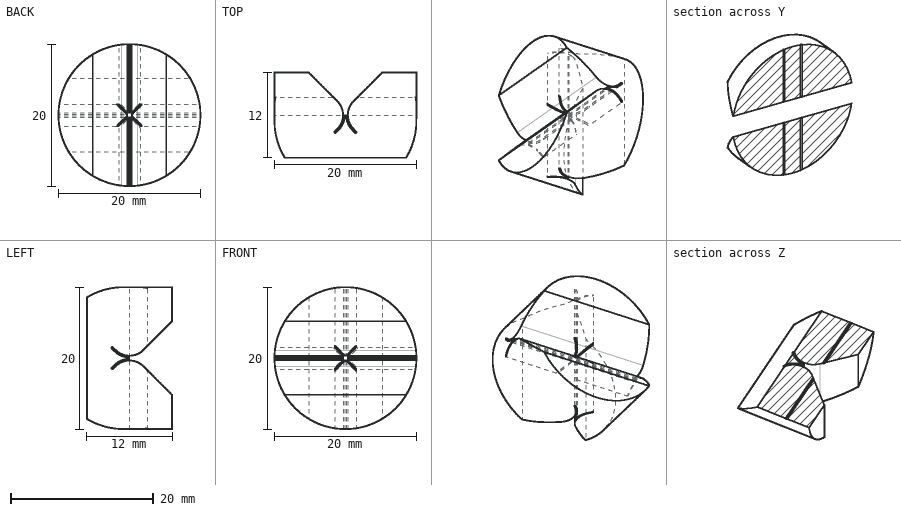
import cadquery as cq
import math

diameter = 20.0
length = 12.0
mouth_half_width = 5.18
throat_half_width = 0.32
slot_width = 0.2
slot_reach = 2.5

half_length = length / 2
diagonal = math.sqrt(0.5)

flank_offset = half_length - mouth_half_width
wall_radius = (throat_half_width + flank_offset) / (math.sqrt(2) - 1)
wall_center = throat_half_width + wall_radius
inner_radius = wall_radius + slot_width
slot_end_radius = slot_width / 2


def on_arc(radius, degrees):
    """Point on a wall arc; positive angles lie on the V-notch side."""
    angle = math.radians(degrees)
    return (wall_center - radius * math.cos(angle), radius * math.sin(angle))


def half_notch_profile():
    """Half of the V-notch whose rounded throat stops at the joint centre."""
    return (
        cq.Workplane("XY")
        .moveTo(0, 0)
        .lineTo(throat_half_width, 0)
        .threePointArc(on_arc(wall_radius, 22.5), on_arc(wall_radius, 45))
        .lineTo(mouth_half_width, half_length)
        .lineTo(0, half_length)
        .close()
    )


def slot_profile():
    """Slot following the wall arc past the centre, then straight at 45 degrees."""
    outer_start = on_arc(wall_radius, -45)
    inner_start = on_arc(inner_radius, -45)
    middle_y = (outer_start[1] + inner_start[1]) / 2
    run = slot_reach - slot_end_radius + middle_y
    outer_end = (outer_start[0] + run, outer_start[1] - run)
    inner_end = (inner_start[0] + run, inner_start[1] - run)
    tip = (
        (outer_end[0] + inner_end[0]) / 2 + slot_end_radius * diagonal,
        (outer_end[1] + inner_end[1]) / 2 - slot_end_radius * diagonal,
    )
    return (
        cq.Workplane("XY")
        .moveTo(throat_half_width, 0)
        .threePointArc(on_arc(wall_radius, -22.5), outer_start)
        .lineTo(*outer_end)
        .threePointArc(tip, inner_end)
        .lineTo(*inner_start)
        .threePointArc(on_arc(inner_radius, -22.5), on_arc(inner_radius, 0))
        .close()
    )


def notch_cutter():
    """Complete cutter for the +Y end, running through the part along Z."""
    half_notch = half_notch_profile().extrude(diameter, both=True)
    slot = slot_profile().extrude(diameter, both=True)
    half_cutter = half_notch.union(slot)
    return half_cutter.union(half_cutter.mirror("YZ"))


rear_cutter = notch_cutter()
front_cutter = rear_cutter.mirror("XZ").rotate((0, 0, 0), (0, 1, 0), 90)

cylinder = cq.Workplane("XZ", origin=(0, half_length, 0)).circle(diameter / 2).extrude(length)
result = cylinder.cut(rear_cutter).cut(front_cutter)